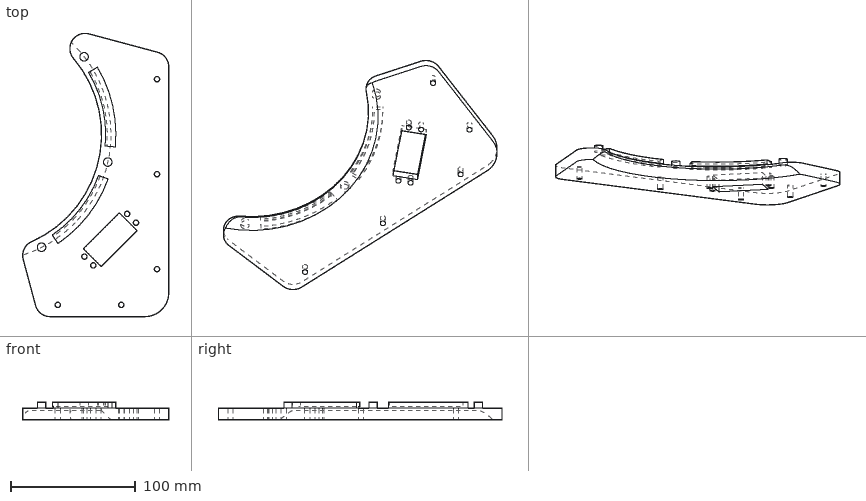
import cadquery as cq
import math

overall_width = 117.3
overall_length = 227.4
plate_thickness = 9.5
total_height = 14.3
right_corner_radius = 19.3
corner_radius = 12.3
slant_angle = 15

arc_center = (-148.0, 146.2)
arc_radius = 94.0
symmetry_angle = -12.6
undercut_size = 7.7

peg_circle_radius = 101.5
feature_step = 50.5
peg_diameter = 6.8
rib_width = 8.2
rib_span = 36.2
rib_step_height = 1.4
rib_step_depth = 1.4

hole_diameter = 4.0
edge_distance = 9.5
side_hole_start = 38.2
side_hole_pitch = 76.2
bottom_hole_start = 38.2
bottom_hole_pitch = 51.0

window_center = (-47.0, 61.8)
window_angle = 45
window_length = 40.7
window_width = 20.0
window_hole_spacing = (48.5, 10.0)


def polar(center, radius, angle):
    a = math.radians(angle)
    return (center[0] + radius * math.cos(a), center[1] + radius * math.sin(a))


def make_plate():
    top_normal = 90 - slant_angle
    left_normal = 180 + slant_angle

    reach = arc_radius + corner_radius
    tip_y = overall_length - corner_radius
    tip_center = (arc_center[0] + math.sqrt(reach**2 - (tip_y - arc_center[1]) ** 2), tip_y)
    left_x = corner_radius - overall_width
    left_center = (left_x, arc_center[1] - math.sqrt(reach**2 - (left_x - arc_center[0]) ** 2))

    slant = math.radians(slant_angle)
    right_corner_y = tip_center[1] + tip_center[0] * math.tan(slant) + corner_radius / math.cos(slant)
    bottom_corner_x = left_center[0] + left_center[1] * math.tan(slant) - corner_radius / math.cos(slant)

    def angle_to_arc_center(center):
        return math.degrees(math.atan2(arc_center[1] - center[1], arc_center[0] - center[0])) % 360

    tip_end = angle_to_arc_center(tip_center)
    left_start = angle_to_arc_center(left_center)
    plate = (
        cq.Workplane("XY")
        .lineTo(0, right_corner_y)
        .lineTo(*polar(tip_center, corner_radius, top_normal))
        .threePointArc(
            polar(tip_center, corner_radius, (top_normal + tip_end) / 2),
            polar(tip_center, corner_radius, tip_end),
        )
        .threePointArc(
            polar(arc_center, arc_radius, symmetry_angle),
            polar(left_center, corner_radius, left_start),
        )
        .threePointArc(
            polar(left_center, corner_radius, (left_start + left_normal) / 2),
            polar(left_center, corner_radius, left_normal),
        )
        .lineTo(bottom_corner_x, 0)
        .close()
        .extrude(plate_thickness)
    )
    plate = plate.edges(cq.NearestToPointSelector((0, 0, plate_thickness / 2))).fillet(right_corner_radius)
    for corner in ((0, right_corner_y), (bottom_corner_x, 0)):
        selector = cq.NearestToPointSelector((*corner, plate_thickness / 2))
        plate = plate.edges(selector).fillet(corner_radius)
    return plate


def make_undercut():
    cone = cq.Solid.makeCone(arc_radius + undercut_size, arc_radius, undercut_size)
    return cq.Workplane(cone.translate(cq.Vector(*arc_center, 0)))


def make_peg(angle):
    return (
        cq.Workplane("XY", origin=(0, 0, plate_thickness))
        .moveTo(*polar(arc_center, peg_circle_radius, angle))
        .circle(peg_diameter / 2)
        .extrude(total_height - plate_thickness)
    )


def make_arc_band(inner, outer, middle, bottom, top):
    """Band of one rib's angular span, centered on the given direction."""
    first = middle - rib_span / 2
    last = middle + rib_span / 2
    return (
        cq.Workplane("XY", origin=(0, 0, bottom))
        .moveTo(*polar(arc_center, inner, first))
        .lineTo(*polar(arc_center, outer, first))
        .threePointArc(polar(arc_center, outer, middle), polar(arc_center, outer, last))
        .lineTo(*polar(arc_center, inner, last))
        .threePointArc(polar(arc_center, inner, middle), polar(arc_center, inner, first))
        .close()
        .extrude(top - bottom)
    )


def make_rib(middle):
    inner = peg_circle_radius - rib_width / 2
    outer = inner + rib_width
    step_top = plate_thickness + rib_step_height
    foot = make_arc_band(inner + rib_step_depth, outer, middle, plate_thickness, step_top)
    body = make_arc_band(inner, outer, middle, step_top, total_height)
    return foot.union(body)


def make_mounting_holes():
    side = [(-edge_distance, side_hole_start + i * side_hole_pitch) for i in range(3)]
    bottom = [(-bottom_hole_start - i * bottom_hole_pitch, edge_distance) for i in range(2)]
    return cq.Workplane("XY").pushPoints(side + bottom).circle(hole_diameter / 2).extrude(plate_thickness)


def make_window():
    window = cq.Workplane("XY").rect(window_length, window_width).extrude(plate_thickness)
    holes = (
        cq.Workplane("XY")
        .rect(*window_hole_spacing, forConstruction=True)
        .vertices()
        .circle(hole_diameter / 2)
        .extrude(plate_thickness)
    )
    return window.add(holes).combine().rotate((0, 0, 0), (0, 0, 1), window_angle).translate((*window_center, 0))


result = make_plate().cut(make_undercut()).cut(make_mounting_holes()).cut(make_window())
for step in (-1, 0, 1):
    result = result.union(make_peg(symmetry_angle + step * feature_step))
for side in (-0.5, 0.5):
    result = result.union(make_rib(symmetry_angle + side * feature_step))